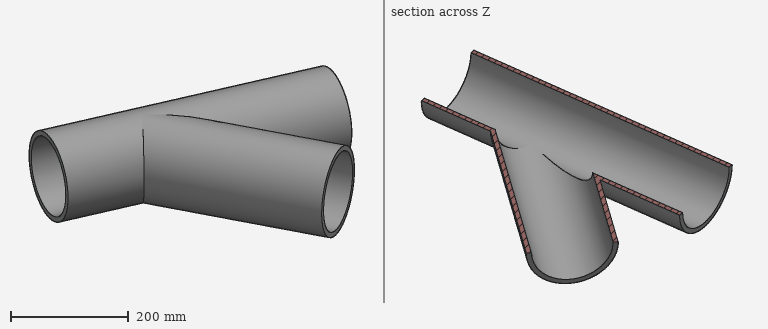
import cadquery as cq
import math

run_length = 531.0
outer_diameter = 160.0
bore_diameter = 141.0
branch_angle = 45.0
branch_length = 356.0
crossing_height = 175.0

angle = math.radians(branch_angle)
run_start = cq.Vector(0, -crossing_height, 0)
run_direction = cq.Vector(0, 1, 0)
crossing = cq.Vector(0, 0, 0)
branch_direction = cq.Vector(math.sin(angle), math.cos(angle), 0)


def tee_body(diameter):
    """Run and branch cylinders of one diameter, joined at the axis crossing."""
    radius = diameter / 2
    run = cq.Solid.makeCylinder(radius, run_length, run_start, run_direction)
    branch = cq.Solid.makeCylinder(radius, branch_length, crossing, branch_direction)
    return cq.Workplane(obj=run).union(cq.Workplane(obj=branch))


result = tee_body(outer_diameter).cut(tee_body(bore_diameter))